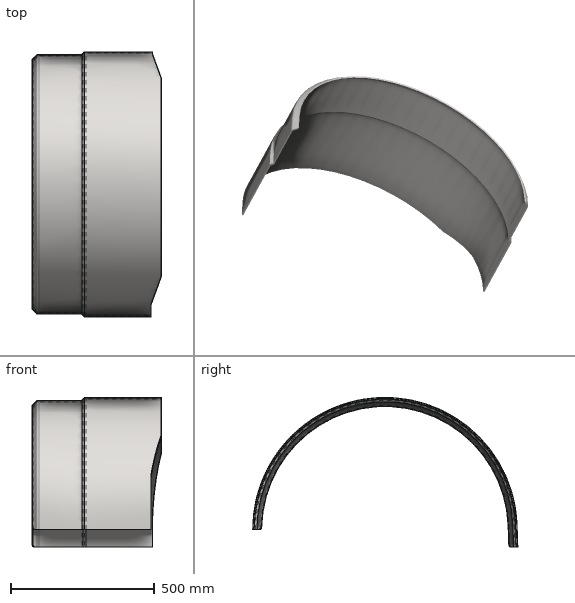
import cadquery as cq
import math

length = 451.06
body_radius = 460.89
neck_radius = 451.4
thickness = 5.0

joggle_start = 173.4
joggle_length = body_radius - neck_radius
joggle_inner_shift = 5.0

lip_angle = math.radians(45)
lip_radius = 433.2
bend_inner_radius = 8.0
lip_corner_radius = 11.0

skirt_lean = math.radians(2)
skirt_depth = 60.77

trim_angle = math.radians(20)
right_trim_start = 319.0
left_trim_start = 370.0
right_trim_x = 415.4
left_trim_x = 420.7

X_AXIS = (cq.Vector(0, 0, 0), cq.Vector(1, 0, 0))


def shell_profile():
    """Cross-section of the shell wall in the XY plane, with Y as the radius."""
    bend_outer_radius = bend_inner_radius + thickness
    lip_run = (neck_radius - lip_radius) / math.tan(lip_angle)
    bend_x = lip_run + bend_outer_radius * math.tan(lip_angle / 2)
    bend_y = neck_radius - bend_outer_radius

    def on_bend(radius, angle):
        return (bend_x - radius * math.sin(angle), bend_y + radius * math.cos(angle))

    joggle_end = joggle_start + joggle_length
    lip_inner_corner = (thickness * math.sin(lip_angle), lip_radius - thickness * math.cos(lip_angle))
    return (
        cq.Workplane("XY")
        .moveTo(0, lip_radius)
        .lineTo(*on_bend(bend_outer_radius, lip_angle))
        .threePointArc(on_bend(bend_outer_radius, lip_angle / 2), on_bend(bend_outer_radius, 0))
        .lineTo(joggle_start, neck_radius)
        .lineTo(joggle_end, body_radius)
        .lineTo(length, body_radius)
        .lineTo(length, body_radius - thickness)
        .lineTo(joggle_end + joggle_inner_shift, body_radius - thickness)
        .lineTo(joggle_start + joggle_inner_shift, neck_radius - thickness)
        .lineTo(*on_bend(bend_inner_radius, 0))
        .threePointArc(on_bend(bend_inner_radius, lip_angle / 2), on_bend(bend_inner_radius, lip_angle))
        .lineTo(*lip_inner_corner)
        .close()
    )


def make_arch():
    """Sweep the wall from the -Y end (Z = 0) over the top to where the skirt leaves on the +Y side."""
    skirt_start = shell_profile().wires().val().rotate(*X_AXIS, math.degrees(skirt_lean))
    sweep_angle = 180 - math.degrees(skirt_lean)
    return cq.Workplane(cq.Solid.revolve(skirt_start, [], sweep_angle, *X_AXIS))


def make_skirt():
    """Straight wall along the tangent of the arch, cut off level at the bottom."""
    wire = shell_profile().wires().val().rotate(*X_AXIS, math.degrees(skirt_lean))
    run = 2 * skirt_depth
    direction = cq.Vector(0, run * math.sin(skirt_lean), -run * math.cos(skirt_lean))
    floor_size = 3 * body_radius
    below = cq.Workplane("XY").workplane(offset=-skirt_depth).rect(floor_size, floor_size).extrude(-run)
    return cq.Workplane(cq.Solid.extrudeLinear(wire, [], direction)).cut(below)


def round_lip_corner(body, y, z):
    """Round the corner of the lip at one end of the arch; (y, z) is the lip's outer corner there."""
    reach = 2 * thickness
    margin = 1.0
    corner = cq.selectors.BoxSelector(
        (-margin, y - reach, z - margin),
        (reach, y + reach, z + margin),
        boundingbox=True,
    )
    return body.edges(corner).fillet(lip_corner_radius)


def rear_trim(side, start, trim_x):
    """Material removed behind the trimmed rear edge on one side (side is +1 or -1 along Y)."""
    beyond = 2 * body_radius
    slope_end = start + (length - trim_x) / math.tan(trim_angle)
    overrun = 10.0
    slope_start = start - overrun / math.tan(trim_angle)
    return (
        cq.Workplane("XY")
        .polyline([
            (length + overrun, side * slope_start),
            (trim_x, side * slope_end),
            (trim_x, side * beyond),
            (length + overrun, side * beyond),
        ])
        .close()
        .extrude(beyond, both=True)
    )


body = make_arch().union(make_skirt())
body = round_lip_corner(body, -lip_radius, 0)
skirt_lip_y = lip_radius / math.cos(skirt_lean) + skirt_depth * math.tan(skirt_lean)
body = round_lip_corner(body, skirt_lip_y, -skirt_depth)
body = body.cut(rear_trim(-1, right_trim_start, right_trim_x))
result = body.cut(rear_trim(1, left_trim_start, left_trim_x))